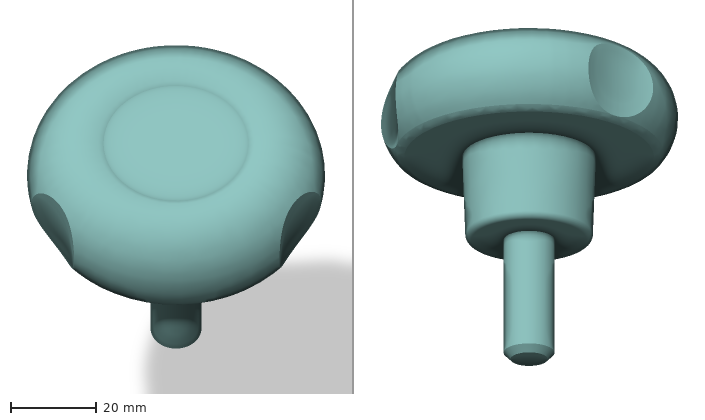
import cadquery as cq
import math

total_height = 74.0
stud_length = 30.0
head_height = 23.0
head_bottom = total_height - head_height

head_radius = 35.0
ring_radius = 13.2
ring_center_r = head_radius - ring_radius
ring_center_z = total_height - ring_radius
disc_radius = 17.0
lower_rim_fillet = 3.0

boss_top_radius = 15.7
boss_draft = math.radians(2.0)
boss_fillet = 1.5

stud_diameter = 12.0
stud_chamfer = 1.6

scallop_count = 3
scallop_radius = 25.0
scallop_floor_r = 31.5
first_scallop_angle = -90.0


def make_head():
    drop = ring_center_z - head_bottom
    disc_inset = ring_center_r - disc_radius
    disc_height = ring_center_z + math.sqrt(ring_radius**2 - disc_inset**2)
    bottom_radius = ring_center_r + math.sqrt(ring_radius**2 - drop**2)
    profile = (
        cq.Workplane("XZ")
        .moveTo(0, head_bottom)
        .lineTo(bottom_radius, head_bottom)
        .threePointArc((ring_center_r, total_height), (disc_radius, disc_height))
        .lineTo(0, disc_height)
        .close()
    )
    head = profile.revolve(360, (0, 0, 0), (0, 1, 0))
    return head.faces("<Z").edges().fillet(lower_rim_fillet)


def make_boss():
    boss_height = head_bottom - stud_length
    boss_bottom_radius = boss_top_radius - boss_height * math.tan(boss_draft)
    boss = (
        cq.Workplane("XY", origin=(0, 0, stud_length))
        .circle(boss_bottom_radius)
        .workplane(offset=boss_height)
        .circle(boss_top_radius)
        .loft()
    )
    return boss.faces("<Z").edges().fillet(boss_fillet)


def make_stud():
    stud = cq.Workplane("XY").circle(stud_diameter / 2).extrude(stud_length)
    return stud.faces("<Z").edges().chamfer(stud_chamfer)


def make_scallop_cutters():
    axis_distance = scallop_floor_r + scallop_radius
    return (
        cq.Workplane("XY", origin=(0, 0, head_bottom))
        .polarArray(axis_distance, first_scallop_angle, 360, scallop_count)
        .circle(scallop_radius)
        .extrude(head_height)
    )


head = make_head().cut(make_scallop_cutters())
result = head.union(make_boss()).union(make_stud())